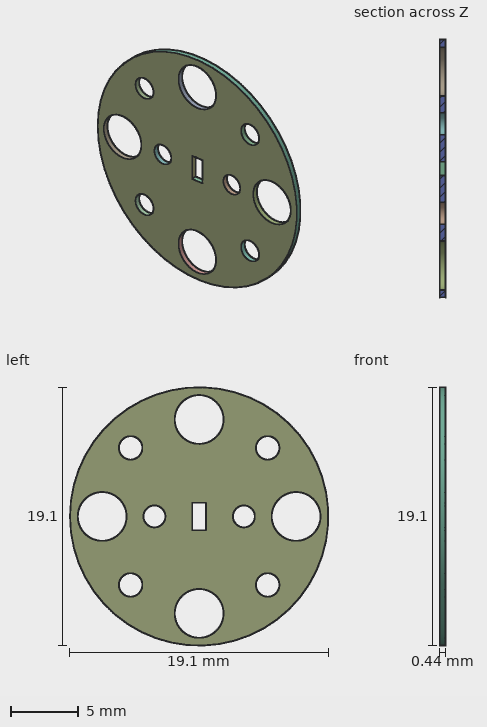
import cadquery as cq

disc_diameter = 19.05
thickness = 0.44

large_hole_diameter = 3.58
large_hole_circle_radius = 7.15

corner_hole_diameter = 1.71
corner_hole_offset = 5.05

inner_hole_diameter = 1.6
inner_hole_offset = 3.3

slot_width = 1.0
slot_height = 2.0


def through_holes(diameter, centers):
    """Cylinders along X that pierce the plate at the given (Y, Z) centers."""
    return cq.Workplane("YZ").pushPoints(centers).circle(diameter / 2).extrude(thickness)


large_hole_centers = [
    (large_hole_circle_radius, 0),
    (-large_hole_circle_radius, 0),
    (0, large_hole_circle_radius),
    (0, -large_hole_circle_radius),
]
corner_hole_centers = [
    (y_side * corner_hole_offset, z_side * corner_hole_offset)
    for y_side in (-1, 1)
    for z_side in (-1, 1)
]
inner_hole_centers = [(-inner_hole_offset, 0), (inner_hole_offset, 0)]

disc = cq.Workplane("YZ").circle(disc_diameter / 2).extrude(thickness)
slot = cq.Workplane("YZ").rect(slot_width, slot_height).extrude(thickness)

result = (
    disc
    .cut(through_holes(large_hole_diameter, large_hole_centers))
    .cut(through_holes(corner_hole_diameter, corner_hole_centers))
    .cut(through_holes(inner_hole_diameter, inner_hole_centers))
    .cut(slot)
)